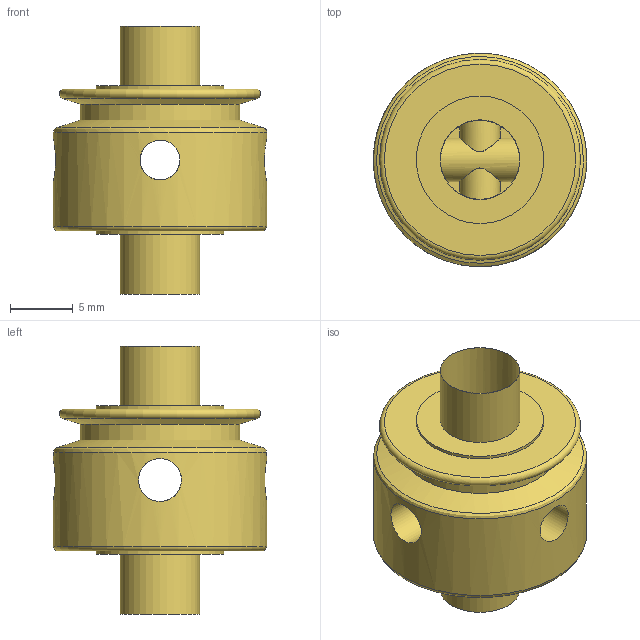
import cadquery as cq
import math

TOTAL_HEIGHT = 21.35
BODY_DIAMETER = 16.99
NECK_DIAMETER = 12.7
HUB_DIAMETER = 10.16
TUBE_DIAMETER = 6.35

BODY_HEIGHT = 11.3
HUB_THICKNESS = 0.254
NECK_BOTTOM = 3.185
NECK_WIDTH = 1.27
GROOVE_WALL_ANGLE = 18.0

EDGE_ROUNDING = 0.381

WALL = 0.02
BORE_FLOOR = 0.0
HOLE_ALONG_X_DIAMETER = 3.42
HOLE_ALONG_Y_DIAMETER = 3.17

body_radius = BODY_DIAMETER / 2
neck_radius = NECK_DIAMETER / 2
half_body = BODY_HEIGHT / 2
hub_height = BODY_HEIGHT + 2 * HUB_THICKNESS
neck_top = NECK_BOTTOM + NECK_WIDTH
groove_angle = math.radians(GROOVE_WALL_ANGLE)
shoulder_rim = NECK_BOTTOM - (body_radius - neck_radius) * math.tan(groove_angle)


def centred_cylinder(diameter, height):
    """Cylinder on the Z axis, centred on Z = 0."""
    return cq.Workplane("XY").circle(diameter / 2).extrude(height / 2, both=True)


def revolve_about_z(profile):
    """Turn a closed (radius, height) profile about the Z axis."""
    return profile.close().revolve(360, (0, 0), (0, 1))


def make_drum():
    """Main drum with a sloping shoulder and rounded outer edges."""
    profile = cq.Workplane("XZ").polyline([
        (0, -half_body),
        (body_radius, -half_body),
        (body_radius, shoulder_rim),
        (neck_radius, NECK_BOTTOM),
        (0, NECK_BOTTOM),
    ])
    largest_circles = cq.selectors.RadiusNthSelector(-1)
    return revolve_about_z(profile).edges("%CIRCLE").edges(largest_circles).fillet(EDGE_ROUNDING)


def make_neck():
    """Cylindrical floor of the V groove, joining drum and flange."""
    return cq.Workplane("XY").workplane(offset=NECK_BOTTOM).circle(neck_radius).extrude(NECK_WIDTH)


def make_flange():
    """Upper flange whose rim is one arc, tangent to its flat top and sloping underside."""
    arc_centre_z = half_body - EDGE_ROUNDING
    slope_end_z = arc_centre_z - EDGE_ROUNDING * math.cos(groove_angle)
    slope_end_radius = neck_radius + (slope_end_z - neck_top) / math.tan(groove_angle)
    arc_centre_radius = slope_end_radius - EDGE_ROUNDING * math.sin(groove_angle)
    profile = (
        cq.Workplane("XZ")
        .moveTo(0, neck_top)
        .lineTo(neck_radius, neck_top)
        .lineTo(slope_end_radius, slope_end_z)
        .threePointArc((arc_centre_radius + EDGE_ROUNDING, arc_centre_z), (arc_centre_radius, half_body))
        .lineTo(0, half_body)
    )
    return revolve_about_z(profile)


def cross_cylinder(plane, diameter):
    """Cylinder across the whole body, along the normal of the given plane."""
    start = cq.Workplane(plane).workplane(offset=-BODY_DIAMETER)
    return start.circle(diameter / 2).extrude(2 * BODY_DIAMETER)


def make_bore():
    """Blind bore from the top, leaving a thin sleeve around each cross hole."""
    bore_radius = TUBE_DIAMETER / 2 - WALL
    depth = TOTAL_HEIGHT / 2 - BORE_FLOOR
    bore = cq.Workplane("XY").workplane(offset=BORE_FLOOR).circle(bore_radius).extrude(depth)
    sleeve_along_x = cross_cylinder("YZ", HOLE_ALONG_X_DIAMETER + 2 * WALL)
    sleeve_along_y = cross_cylinder("XZ", HOLE_ALONG_Y_DIAMETER + 2 * WALL)
    return bore.cut(sleeve_along_x).cut(sleeve_along_y)


result = (
    make_drum()
    .union(make_neck())
    .union(make_flange())
    .union(centred_cylinder(HUB_DIAMETER, hub_height))
    .union(centred_cylinder(TUBE_DIAMETER, TOTAL_HEIGHT))
    .cut(make_bore())
    .cut(cross_cylinder("YZ", HOLE_ALONG_X_DIAMETER))
    .cut(cross_cylinder("XZ", HOLE_ALONG_Y_DIAMETER))
)